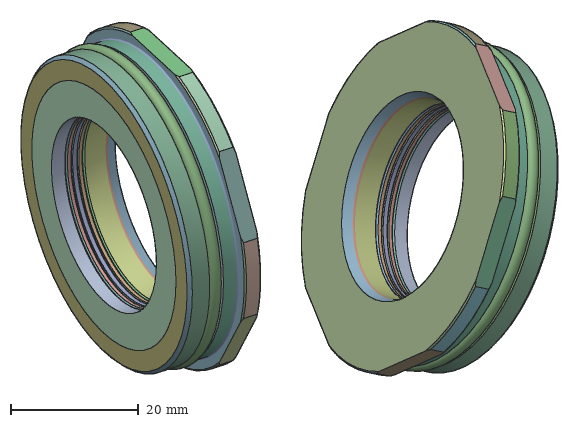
import cadquery as cq
import math


total_length = 12.0
body_radius = 26.0
front_chamfer = 0.6
flange_thickness = 3.0
flange_across_flats = 54.0
flange_corner_radius = 28.0
flange_chamfer = 0.25
flange_root_fillet = 0.25
flange_front = total_length - flange_thickness

bore_radius = 16.0
bore_edge_chamfer = 0.25

flare_length = 1.9
flare_angle = 20.0
flare_blend_radius = 1.2
flare_start = total_length - flare_length
flare_end_radius = bore_radius + flare_length * math.tan(math.radians(flare_angle))

oring_section_radius = 1.0
oring_center_radius = 25.5
oring_center_y = 5.0
oring_groove_width = 2.5
oring_groove_radius = oring_center_radius - oring_section_radius

insert_radius = 22.0
disc_thickness = 2.65
seal_width = 3.15
pocket_depth = disc_thickness + seal_width
seal_center_y = disc_thickness + seal_width / 2
seal_groove_width = 0.35
seal_groove_depth = 0.4
seal_groove_spacing = 1.1


def ring(inner_radius, outer_radius, y_start, y_end):
    """Plain ring around the Y axis between two Y positions."""
    profile = cq.Workplane("XY").moveTo(inner_radius, y_start).lineTo(outer_radius, y_start)
    profile = profile.lineTo(outer_radius, y_end).lineTo(inner_radius, y_end).close()
    return profile.revolve(360, (0, 0, 0), (0, 1, 0))


def cylinder(radius, y_start, y_end):
    """Solid cylinder on the Y axis between two Y positions."""
    return cq.Workplane("XZ", origin=(0, y_end, 0)).circle(radius).extrude(y_end - y_start)


def make_flange():
    """Hexagon with two horizontal flats, its corners turned down to a chamfered cylinder."""
    across_corners = flange_across_flats / math.cos(math.pi / 6)
    hexagon = cq.Workplane("XZ", origin=(0, total_length, 0)).polygon(6, across_corners)
    turned = cylinder(flange_corner_radius, flange_front, total_length).edges().chamfer(flange_chamfer)
    return hexagon.extrude(flange_thickness).intersect(turned)


def make_flange_root():
    """Small concave fillet in the corner between the body and the flange."""
    fillet_center = (body_radius + flange_root_fillet, flange_front - flange_root_fillet)
    arc_offset = flange_root_fillet * math.sqrt(0.5)
    profile = (
        cq.Workplane("XY")
        .moveTo(insert_radius, fillet_center[1])
        .lineTo(body_radius, fillet_center[1])
        .threePointArc(
            (fillet_center[0] - arc_offset, fillet_center[1] + arc_offset),
            (fillet_center[0], flange_front),
        )
        .lineTo(insert_radius, flange_front)
        .close()
    )
    return profile.revolve(360, (0, 0, 0), (0, 1, 0))


def make_bore():
    """Bore behind the seal: chamfered entry, straight stretch and a blended flare to the back face."""
    blend_tangent = flare_blend_radius * math.tan(math.radians(flare_angle / 2))
    angle = math.radians(flare_angle)
    blend_start_y = flare_start - blend_tangent
    blend_end = (
        bore_radius + blend_tangent * math.sin(angle),
        flare_start + blend_tangent * math.cos(angle),
    )
    blend_middle = (
        bore_radius + flare_blend_radius * (1 - math.cos(angle / 2)),
        blend_start_y + flare_blend_radius * math.sin(angle / 2),
    )
    profile = (
        cq.Workplane("XY")
        .moveTo(0, pocket_depth)
        .lineTo(bore_radius + bore_edge_chamfer, pocket_depth)
        .lineTo(bore_radius, pocket_depth + bore_edge_chamfer)
        .lineTo(bore_radius, blend_start_y)
        .threePointArc(blend_middle, blend_end)
        .lineTo(flare_end_radius, total_length)
        .lineTo(0, total_length)
        .close()
    )
    return profile.revolve(360, (0, 0, 0), (0, 1, 0))


def make_housing():
    """Flanged sleeve with an outer O-ring groove and a front pocket for the disc and seal."""
    body = cylinder(body_radius, 0, flange_front).faces("<Y").edges().chamfer(front_chamfer)
    groove = ring(
        oring_groove_radius,
        body_radius,
        oring_center_y - oring_groove_width / 2,
        oring_center_y + oring_groove_width / 2,
    )
    pocket = cylinder(insert_radius, 0, pocket_depth)
    return body.union(make_flange()).union(make_flange_root()).cut(groove).cut(pocket).cut(make_bore())


def make_oring():
    """Round-section ring resting on the floor of the outer groove."""
    section = cq.Workplane("XY").center(oring_center_radius, oring_center_y).circle(oring_section_radius)
    axis_start = (-oring_center_radius, 0, 0)
    axis_end = (-oring_center_radius, 1, 0)
    return section.revolve(360, axis_start, axis_end)


def make_disc():
    """Flat disc closing the pocket, flush with the front face, with its rear bore edge chamfered."""
    disc = ring(bore_radius, insert_radius, 0, disc_thickness)
    rear_bore_edge = disc.faces(">Y").edges(cq.selectors.RadiusNthSelector(0))
    return rear_bore_edge.chamfer(bore_edge_chamfer)


def make_seal():
    """Seal ring behind the disc: chamfered bore edges and two narrow grooves in the bore."""
    seal = ring(bore_radius, insert_radius, disc_thickness, pocket_depth)
    bore_edges = seal.faces("<Y or >Y").edges(cq.selectors.RadiusNthSelector(0))
    seal = bore_edges.chamfer(bore_edge_chamfer)
    for side in (-1, 1):
        groove_center_y = seal_center_y + side * seal_groove_spacing / 2
        groove = ring(
            bore_radius - bore_edge_chamfer,
            bore_radius + seal_groove_depth,
            groove_center_y - seal_groove_width / 2,
            groove_center_y + seal_groove_width / 2,
        )
        seal = seal.cut(groove)
    return seal


housing = make_housing()
oring = make_oring()
disc = make_disc()
seal = make_seal()

result = cq.Compound.makeCompound([housing.val(), oring.val(), disc.val(), seal.val()])